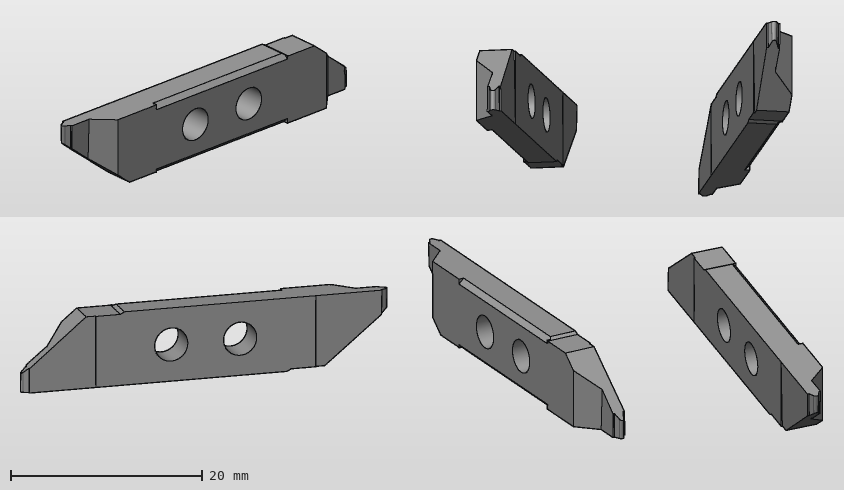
import cadquery as cq
import math

length = 40.0
width = 3.6
height = 8.0
half_length = length / 2
half_width = width / 2
half_height = height / 2

tip_height = 2.0
slope_angle = 39.5
land_drop = 0.25
land_end_y = 9.3
ramp_length = 0.45

neck_width = 1.5
end_start_y = 12.0
neck_start_y = 16.8
tip_length = 0.75
tip_root_half_width = 0.55
nose_depth = 0.2
nose_half_width = 0.3
relief_angle = 1.0
neck_relief = height * math.tan(math.radians(relief_angle))

chamfer_size = 0.55
chamfer_half_length = 9.2

hole_diameter = 3.6
hole_spacing = 7.5

left_x = -half_width
right_x = half_width
neck_right_x = left_x + neck_width
overshoot = 0.4


def turned_over(shape):
    """Return the shape turned half a turn about the X axis."""
    return shape.rotate((0, 0, 0), (1, 0, 0), 180)


def side_profile():
    """Elongated hexagon with a lowered land at each end, extruded across the width."""
    land_z = half_height - land_drop
    tip_z = -half_height + tip_height
    slope_start_y = half_length - (land_z - tip_z) / math.tan(math.radians(slope_angle))
    half_outline = [
        (half_length, -half_height),
        (half_length, tip_z),
        (slope_start_y, land_z),
        (land_end_y, land_z),
        (land_end_y - ramp_length, half_height),
    ]
    outline = half_outline + [(-y, -z) for y, z in half_outline]
    return cq.Workplane("YZ").workplane(offset=left_x).polyline(outline).close().extrude(width)


def middle_block():
    """Full-width middle with a 45 degree shoulder running down to each neck."""
    shoulder_y = neck_start_y - (width - neck_width)
    return (
        cq.Workplane("XY")
        .workplane(offset=-half_height)
        .moveTo(left_x, -end_start_y)
        .lineTo(left_x, end_start_y)
        .lineTo(neck_right_x - neck_relief, end_start_y)
        .lineTo(neck_right_x - neck_relief, neck_start_y + neck_relief)
        .lineTo(right_x, shoulder_y)
        .lineTo(right_x, -shoulder_y)
        .lineTo(neck_right_x - neck_relief, -neck_start_y - neck_relief)
        .lineTo(neck_right_x - neck_relief, -end_start_y)
        .close()
        .extrude(height)
    )


def cutting_end():
    """Neck and rounded tip at +Y, drafted inward from the cutting edge at the bottom."""
    tip_x = left_x + neck_width / 2
    nose_y = half_length - nose_depth
    flank_y = half_length - tip_length
    root_y = end_start_y - overshoot
    return (
        cq.Workplane("XY")
        .workplane(offset=-half_height)
        .moveTo(left_x, root_y)
        .lineTo(left_x, flank_y)
        .lineTo(tip_x - tip_root_half_width, flank_y)
        .lineTo(tip_x - nose_half_width, nose_y)
        .threePointArc((tip_x, half_length), (tip_x + nose_half_width, nose_y))
        .lineTo(tip_x + tip_root_half_width, flank_y)
        .lineTo(neck_right_x, flank_y)
        .lineTo(neck_right_x, root_y)
        .close()
        .extrude(height, taper=relief_angle)
    )


def chamfer_cutter():
    """Triangular bar that chamfers the middle of the top edge of the +X face."""
    return (
        cq.Workplane("XZ")
        .workplane(offset=-chamfer_half_length)
        .moveTo(right_x - chamfer_size, half_height)
        .lineTo(right_x, half_height)
        .lineTo(right_x, half_height - chamfer_size)
        .close()
        .extrude(2 * chamfer_half_length)
    )


def mounting_holes():
    """Two holes through the width."""
    return (
        cq.Workplane("YZ")
        .workplane(offset=left_x)
        .pushPoints([(-hole_spacing / 2, 0), (hole_spacing / 2, 0)])
        .circle(hole_diameter / 2)
        .extrude(width)
    )


plan_form = middle_block().union(cutting_end()).union(turned_over(cutting_end()))
chamfers = chamfer_cutter().union(turned_over(chamfer_cutter()))
result = side_profile().intersect(plan_form).cut(chamfers).cut(mounting_holes())